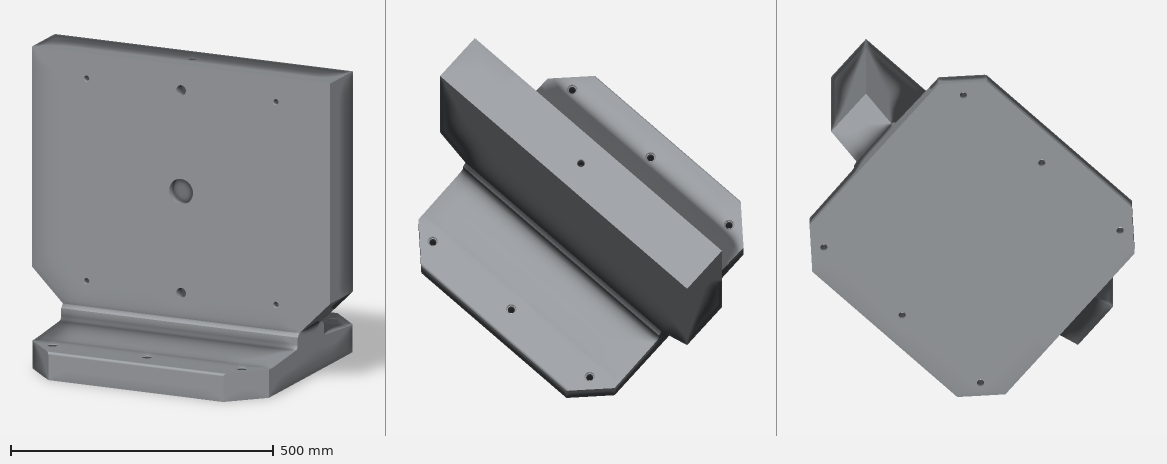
import cadquery as cq
import math

BASE_SIZE = 500.0
CORNER_CUT = 65.0
OVERCUT = 10.0

FLANGE_HEIGHT = 55.0
EDGE_FILLET = 5.0
FLANGE_INNER_Y = 170.0
SLOPE_ANGLE = math.radians(5.0)
NECK_HALF_WIDTH = 57.5
NECK_FILLET = 9.0

PLATE_WIDTH = 630.0
PLATE_THICKNESS = 100.0
PLATE_HEIGHT = 500.0
PLATE_BOTTOM = 95.0
PLATE_TOP = PLATE_BOTTOM + PLATE_HEIGHT
PLATE_CENTER = PLATE_BOTTOM + PLATE_HEIGHT / 2
PLATE_FRONT_Y = -PLATE_THICKNESS / 2

HOLE_PITCH = 200.0
DRILL_TIP_ANGLE = math.radians(118.0)
BASE_HOLE_DIAMETER = 13.5
BASE_RECESS_DIAMETER = 17.0
BASE_RECESS_DEPTH = 4.0
BASE_HOLE_MOUTH = 20.0
CENTER_BORE_DIAMETER = 50.0
CENTER_BORE_DEPTH = 20.0
DOWEL_DIAMETER = 20.0
DOWEL_DEPTH = 25.0
PLATE_TAP_DIAMETER = 10.2
PLATE_TAP_MOUTH = 12.0
PLATE_TAP_DEPTH = 30.0
LIFT_TAP_DIAMETER = 13.5
LIFT_TAP_MOUTH = 16.0
LIFT_TAP_DEPTH = 40.0


def fillet_long_edge(body, y, z, radius):
    """Fillet the edge that runs along X through the point (0, y, z)."""
    edge = cq.selectors.NearestToPointSelector((0, y, z))
    return body.edges("|X").edges(edge).fillet(radius)


def make_base():
    """Base with sloping top, neck and rounded long edges, with its four corners cut off."""
    plate_half = PLATE_THICKNESS / 2
    base_half = BASE_SIZE / 2
    neck_step = NECK_HALF_WIDTH - plate_half
    neck_root = FLANGE_HEIGHT + (FLANGE_INNER_Y - NECK_HALF_WIDTH) * math.tan(SLOPE_ANGLE)
    half_section = [
        (base_half, 0),
        (base_half, FLANGE_HEIGHT),
        (FLANGE_INNER_Y, FLANGE_HEIGHT),
        (NECK_HALF_WIDTH, neck_root),
        (NECK_HALF_WIDTH, PLATE_BOTTOM - neck_step),
        (plate_half, PLATE_BOTTOM),
    ]
    mirrored_section = [(-y, z) for y, z in reversed(half_section)]
    base = (
        cq.Workplane("YZ")
        .polyline(half_section + mirrored_section)
        .close()
        .extrude(base_half, both=True)
    )
    for side in (-1, 1):
        base = fillet_long_edge(base, side * NECK_HALF_WIDTH, neck_root, NECK_FILLET)
        base = fillet_long_edge(base, side * base_half, FLANGE_HEIGHT, EDGE_FILLET)

    outline = (
        cq.Workplane("XY")
        .rect(BASE_SIZE, BASE_SIZE)
        .extrude(PLATE_BOTTOM)
        .edges("|Z")
        .chamfer(CORNER_CUT)
    )
    return base.intersect(outline)


def make_plate():
    """Upright rectangular plate with its two lower corners cut off."""
    return (
        cq.Workplane("XY")
        .workplane(offset=PLATE_BOTTOM)
        .rect(PLATE_WIDTH, PLATE_THICKNESS)
        .extrude(PLATE_HEIGHT)
        .edges("|Y and <Z")
        .chamfer(CORNER_CUT)
    )


def drilled_hole(diameter, mouth_diameter, depth):
    """Countersunk blind hole going down from the origin, ending in a conical drill tip."""
    radius = diameter / 2
    tip_length = radius / math.tan(DRILL_TIP_ANGLE / 2)
    mouth_radius = mouth_diameter / 2
    section = [
        (0, 0),
        (mouth_radius, 0),
        (radius, radius - mouth_radius),
        (radius, -depth),
        (0, -depth - tip_length),
    ]
    return cq.Workplane("XZ").polyline(section).close().revolve(360, (0, 0, 0), (0, 1, 0))


def cut_base_holes(body):
    """Stepped, countersunk through holes, three along each flange."""
    sink_depth = (BASE_HOLE_MOUTH - BASE_RECESS_DIAMETER) / 2
    section = [
        (0, -FLANGE_HEIGHT - OVERCUT),
        (BASE_HOLE_DIAMETER / 2, -FLANGE_HEIGHT - OVERCUT),
        (BASE_HOLE_DIAMETER / 2, -BASE_RECESS_DEPTH),
        (BASE_RECESS_DIAMETER / 2, -BASE_RECESS_DEPTH),
        (BASE_RECESS_DIAMETER / 2, -sink_depth),
        (BASE_HOLE_MOUTH / 2, 0),
        (0, 0),
    ]
    hole = cq.Workplane("XZ").polyline(section).close().revolve(360, (0, 0, 0), (0, 1, 0))
    for x in (-HOLE_PITCH, 0, HOLE_PITCH):
        for y in (-HOLE_PITCH, HOLE_PITCH):
            body = body.cut(hole.translate((x, y, FLANGE_HEIGHT)))
    return body


def cut_plate_holes(body):
    """Blind center bore, two dowel holes and four tapping holes in the front face."""
    front = cq.Workplane("XZ", origin=(0, PLATE_FRONT_Y, PLATE_CENTER))
    center_bore = front.circle(CENTER_BORE_DIAMETER / 2).extrude(-CENTER_BORE_DEPTH)
    dowel_holes = (
        front.pushPoints([(0, -HOLE_PITCH), (0, HOLE_PITCH)])
        .circle(DOWEL_DIAMETER / 2)
        .extrude(-DOWEL_DEPTH)
    )
    body = body.cut(center_bore).cut(dowel_holes)

    tap_hole = drilled_hole(PLATE_TAP_DIAMETER, PLATE_TAP_MOUTH, PLATE_TAP_DEPTH)
    tap_hole = tap_hole.rotate((0, 0, 0), (1, 0, 0), 90)
    for x in (-HOLE_PITCH, HOLE_PITCH):
        for z in (-HOLE_PITCH, HOLE_PITCH):
            body = body.cut(tap_hole.translate((x, PLATE_FRONT_Y, PLATE_CENTER + z)))
    return body


def cut_lift_hole(body):
    """Blind hole for a lifting eye in the middle of the top face."""
    lift_hole = drilled_hole(LIFT_TAP_DIAMETER, LIFT_TAP_MOUTH, LIFT_TAP_DEPTH)
    return body.cut(lift_hole.translate((0, 0, PLATE_TOP)))


result = make_base().union(make_plate())
result = cut_base_holes(result)
result = cut_plate_holes(result)
result = cut_lift_hole(result)